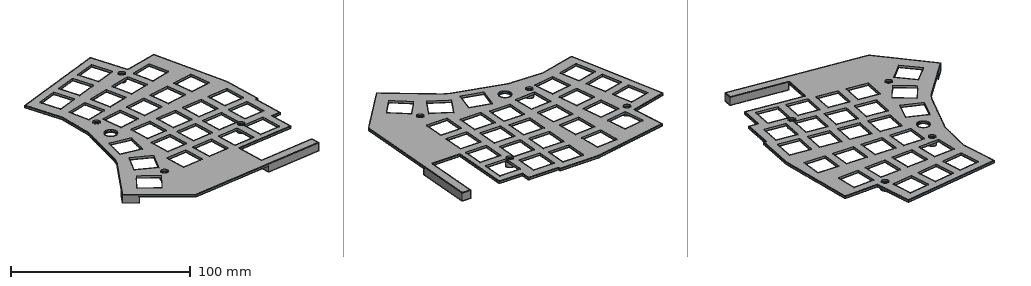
import cadquery as cq
import math

PLATE_LENGTH = 157.57
PLATE_DEPTH = 130.13
TOTAL_HEIGHT = 5.36
PLATE_THICKNESS = 1.5
EDGE_CHAMFER = 0.25

KEY_SIZE = 14.0
KEY_PITCH = 19.05
KEY_COLUMNS = [
    ((15.45, 81.4), 15, 3),
    ((35.4, 105.2), 10, 4),
    ((59.3, 114.1), 5, 4),
    ((84.2, 117.6), 0, 4),
    ((102.95, 116.0), 0, 4),
    ((122.2, 110.7), 0, 4),
]
THUMB_KEYS = [
    ((89.7, 38.5), -15),
    ((110.7, 33.5), -30),
    ((129.25, 21.05), -40),
]

BOSS_CENTRES = [(25.25, 92.4), (112.65, 103.8), (58.15, 44.75), (125.65, 35.6)]
BOSS_DIAMETER = 5.0
BOSS_HEIGHT = 3.5
BOSS_DEPTH = PLATE_THICKNESS + BOSS_HEIGHT
SCREW_DIAMETER = 2.25
SCREW_HEAD_DIAMETER = 4.25
SCREW_HEAD_DEPTH = 1.0

KNOB_CENTRE = (72.9, 42.3)
KNOB_DIAMETER = 6.75
KNOB_CHAMFER = 0.5

NOTCH_LEFT = 133.1
NOTCH_BOTTOM = 84.5
ARM_WIDTH = 5.9
ARM_LEFT = PLATE_LENGTH - ARM_WIDTH
ARM_END = 121.8

FIRST_STEP_X = 97.1
FIRST_STEP_Y = 128.65
SECOND_STEP_X = 117.4
SECOND_STEP_Y = 122.75

FOOT_SIDE = 9.6
FRONT_TIP = (130.5, 0.0)
TIP_LEFT_NEIGHBOUR = (101.0, 21.9)
TIP_RIGHT_NEIGHBOUR = (PLATE_LENGTH, 30.8)

OUTLINE = [
    (0.0, 91.4),
    (24.0, 98.0),
    (20.6, 120.2),
    (70.9, PLATE_DEPTH),
    (FIRST_STEP_X, PLATE_DEPTH),
    (FIRST_STEP_X, FIRST_STEP_Y),
    (SECOND_STEP_X, FIRST_STEP_Y),
    (SECOND_STEP_X, SECOND_STEP_Y),
    (NOTCH_LEFT, SECOND_STEP_Y),
    (NOTCH_LEFT, NOTCH_BOTTOM),
    (ARM_LEFT, NOTCH_BOTTOM),
    (ARM_LEFT, ARM_END),
    (PLATE_LENGTH, ARM_END),
    TIP_RIGHT_NEIGHBOUR,
    FRONT_TIP,
    TIP_LEFT_NEIGHBOUR,
    (97.1, 23.8),
    (64.3, 33.1),
    (41.6, 33.9),
    (17.4, 27.4),
]


def prism(points, height):
    """Solid with the given outline, from the top face down."""
    return cq.Workplane("XY").polyline(points).close().extrude(-height)


def cylinder(centre, diameter, depth):
    """Solid round bar from the top face down."""
    return cq.Workplane("XY").center(*centre).circle(diameter / 2).extrude(-depth)


def point_towards(start, target, distance):
    """Point at a distance from start on the line to target."""
    share = distance / math.dist(start, target)
    return (start[0] + (target[0] - start[0]) * share, start[1] + (target[1] - start[1]) * share)


def key_window(centre, angle):
    """Cutter for one square key window."""
    window = cq.Workplane("XY").rect(KEY_SIZE, KEY_SIZE).extrude(-PLATE_THICKNESS)
    return window.rotate((0, 0, 0), (0, 0, 1), angle).translate((*centre, 0))


def key_windows():
    """Cutters for every key window: the leaning columns and the thumb fan."""
    windows = []
    for (x, y), lean, count in KEY_COLUMNS:
        step_x = KEY_PITCH * math.sin(math.radians(lean))
        step_y = -KEY_PITCH * math.cos(math.radians(lean))
        for row in range(count):
            windows.append(key_window((x + row * step_x, y + row * step_y), lean))
    for centre, angle in THUMB_KEYS:
        windows.append(key_window(centre, angle))
    return windows


def solid_body():
    """Plate with its full-height arm and front foot, chamfered round the top."""
    arm = [
        (ARM_LEFT, NOTCH_BOTTOM),
        (PLATE_LENGTH, NOTCH_BOTTOM),
        (PLATE_LENGTH, ARM_END),
        (ARM_LEFT, ARM_END),
    ]
    foot = [
        FRONT_TIP,
        point_towards(FRONT_TIP, TIP_RIGHT_NEIGHBOUR, FOOT_SIDE),
        point_towards(FRONT_TIP, TIP_LEFT_NEIGHBOUR, FOOT_SIDE),
    ]
    body = prism(OUTLINE, PLATE_THICKNESS)
    body = body.union(prism(arm, TOTAL_HEIGHT)).union(prism(foot, TOTAL_HEIGHT))
    return body.faces(">Z").edges().chamfer(EDGE_CHAMFER)


def add_bosses(body):
    """Screw bosses below the plate, each with a through hole and a head recess."""
    for centre in BOSS_CENTRES:
        body = body.union(cylinder(centre, BOSS_DIAMETER, BOSS_DEPTH))
    for centre in BOSS_CENTRES:
        body = body.cut(cylinder(centre, SCREW_DIAMETER, BOSS_DEPTH))
        body = body.cut(cylinder(centre, SCREW_HEAD_DIAMETER, SCREW_HEAD_DEPTH))
    return body


def cut_knob_opening(body):
    """Round opening with a chamfered top rim."""
    body = body.cut(cylinder(KNOB_CENTRE, KNOB_DIAMETER, PLATE_THICKNESS))
    rim = cq.Workplane("XY").center(*KNOB_CENTRE).circle(KNOB_DIAMETER / 2 + KNOB_CHAMFER)
    rim = rim.workplane(offset=-KNOB_CHAMFER).circle(KNOB_DIAMETER / 2).loft()
    return body.cut(rim)


plate = solid_body()
for window in key_windows():
    plate = plate.cut(window)
plate = add_bosses(plate)
result = cut_knob_opening(plate)